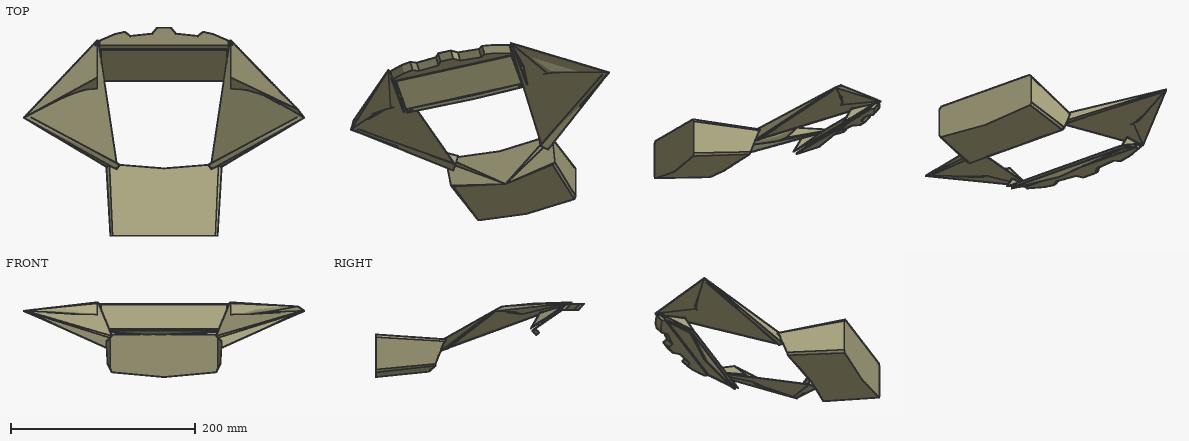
import cadquery as cq



def flat_face(corners):
    return cq.Face.makeFromWires(cq.Wire.makePolygon(corners, close=True))


def twisted_face(first_edge, second_edge):
    """A ruled face between two straight edges, each given as (start, end)."""
    return cq.Face.makeRuledSurface(cq.Edge.makeLine(*first_edge), cq.Edge.makeLine(*second_edge))


def closed_solid(faces):
    """A solid closed by faces; a list of corner points stands for a flat face."""
    built = [flat_face(face) if isinstance(face, list) else face for face in faces]
    solid = cq.Solid.makeSolid(cq.Shell.makeShell(built)).fix()
    return cq.Workplane(obj=solid)


def prism_between(first, second):
    """A solid between two equal, shifted outlines."""
    faces = [first, second]
    for i in range(len(first)):
        j = (i + 1) % len(first)
        faces.append([first[i], first[j], second[j], second[i]])
    return closed_solid(faces)


def mirrored(point):
    """The same point on the other side of the middle plane."""
    x, y, z = point
    return (-x, y, z)


def raised(point, height):
    x, y, z = point
    return (x, y, z + height)


front_corners = [
    (0, 0, 46.6),
    (55.8, 0, 46.6),
    (58.4, 0, 43.5),
    (58.4, 0, 8.4),
    (56.7, 0, 5.2),
    (0, 0, 0),
]
back_corners = [
    (0, 73.4, 38.9),
    (59.2, 78.2, 41.2),
    (62.8, 74.6, 39.0),
    (61.5, 65.0, 14.6),
    (58.6, 65.0, 12.4),
    (0, 57.7, 5.9),
]


def make_block():
    faces = [front_corners + [mirrored(p) for p in reversed(front_corners[1:-1])]]
    for side in (tuple, mirrored):
        front = [side(p) for p in front_corners]
        back = [side(p) for p in back_corners]
        for i in range(len(front) - 1):
            faces.append(twisted_face((front[i], front[i + 1]), (back[i], back[i + 1])))
        for i in range(len(back) - 2):
            faces.append([back[-1], back[i], back[i + 1]])
    return closed_solid(faces)


floor_thickness = 0.6
wing_rear = (72.3, 212.7, 81.52)
wing_tip = (152.43, 128.3, 72.2)
floor_inner_front = (51.6, 80.7, 33.0)


def on_floor(x, y):
    """The point at (x, y) on the plane through the wing's rear, tip and inner front corners."""
    normal = (cq.Vector(wing_tip) - cq.Vector(wing_rear)).cross(
        cq.Vector(floor_inner_front) - cq.Vector(wing_rear)
    )
    rise = normal.x * (x - wing_rear[0]) + normal.y * (y - wing_rear[1])
    return (x, y, wing_rear[2] - rise / normal.z)


floor_inner_rear = on_floor(70.9, 209.5)

rim_tip_inner = on_floor(144.4, 128.7)
rim_outer_end = (51.6, 72.3, 40.6)
rim_inner_end = (47.8, 77.2, 42.2)
rim_outer_foot = (56.0, 71.0, 28.8)
rim_inner_foot = (50.0, 78.2, 31.0)
floor_front = on_floor(53.0, 75.2)

flap_front = (72.3, 172.2, 80.2)
flap_foot = (72.3, 159.8, 68.1)
flap_landing = raised(on_floor(98.7, 158.0), -2 * floor_thickness)
flap_raised_tip = (145.5, 137.3, 77.0)

fin_thickness = 1.0
fin_corners = [(168.2, 52.9), (178.6, 70.6), (203.0, 76.9)]


def floor_plate():
    top = [wing_rear, wing_tip, floor_front, floor_inner_front, floor_inner_rear]
    bottom = [raised(p, -floor_thickness) for p in top]
    return prism_between(top, bottom)


def front_rim():
    tip = wing_tip
    return closed_solid([
        [tip, rim_tip_inner, rim_inner_end],
        [tip, rim_inner_end, rim_outer_end],
        [tip, rim_outer_end, rim_outer_foot],
        [tip, rim_outer_foot, rim_inner_foot],
        [tip, rim_inner_foot, rim_tip_inner],
        [rim_tip_inner, rim_inner_foot, rim_inner_end],
        [rim_outer_end, rim_inner_end, rim_inner_foot],
        [rim_outer_end, rim_inner_foot, rim_outer_foot],
    ])


def rear_flap(open_tip):
    flap_end = flap_raised_tip if open_tip else wing_tip
    faces = [
        [wing_rear, flap_front, flap_foot],
        [wing_rear, flap_front, flap_end],
        twisted_face((flap_front, flap_end), (flap_foot, flap_landing)),
        [wing_rear, flap_foot, flap_landing],
        [wing_rear, flap_landing, wing_tip],
    ]
    if open_tip:
        faces.append([flap_raised_tip, flap_landing, wing_tip])
        faces.append([wing_rear, flap_raised_tip, wing_tip])
    return closed_solid(faces)


def fin():
    return (
        cq.Workplane("YZ", origin=(wing_rear[0], 0, 0))
        .polyline(fin_corners)
        .close()
        .extrude(fin_thickness)
    )


def make_wing(open_tip):
    return floor_plate().union(front_rim()).union(rear_flap(open_tip)).union(fin())


plate_bottom = 72.8
plate_top = 79.8
plate_lean = 6.4
plate_front = 207.0
plate_half_width = 70.3
plate_scallops = [
    (7.5, 226.34),
    (12.9, 219.8),
    (36.7, 217.3),
    (42.5, 221.8),
    (53.4, 219.3),
    (plate_half_width, 212.0),
]
panel_half_width = 68.3
sheet_root = 203.5
upper_sheet = [(201.8, 78.9), (169.7, 54.2), (168.2, 52.9), (sheet_root, 75.4)]
lower_sheet = [(sheet_root, 74.8), (171.0, 51.6), (170.2, 50.7), (sheet_root, 73.6)]
lip_back = (173.0, 53.0)
lip_front = (169.9, 50.2)
lip_depth = 4.5
lip_end_depth = 0.6
lip_deepest_x = -12.0


def scalloped_plate():
    right = [(plate_half_width, plate_front)] + plate_scallops[::-1]
    left = [(-x, y) for x, y in reversed(right)]
    outline = right + left
    top = [(x, y, plate_top) for x, y in outline]
    bottom = [(x, y - plate_lean, plate_bottom) for x, y in outline]
    return prism_between(top, bottom)


def panel_strip(profile):
    """A strip of the panel's width with the given (Y, Z) profile."""
    return (
        cq.Workplane("YZ", origin=(-panel_half_width, 0, 0))
        .polyline(profile)
        .close()
        .extrude(2 * panel_half_width)
    )


def lip_edge(corner):
    """Outline of one long lip face: a straight root and a free edge that dips to its deepest point."""
    y, z = corner
    dips = [
        (-panel_half_width, lip_end_depth),
        (lip_deepest_x, lip_depth),
        (panel_half_width, lip_end_depth),
    ]
    root_left = (-panel_half_width, y, z)
    root_right = (panel_half_width, y, z)
    return [root_left] + [(x, y + dip, z - dip) for x, dip in dips] + [root_right]


def lip():
    """Lip under the panel's front edge, deepest off the middle and shallow at both ends."""
    return prism_between(lip_edge(lip_front), lip_edge(lip_back))


def make_panel():
    panel = scalloped_plate().union(panel_strip(upper_sheet)).union(panel_strip(lower_sheet))
    return panel.union(lip())


right_wing = make_wing(open_tip=True)
left_wing = make_wing(open_tip=False).mirror("YZ")
block = make_block().cut(right_wing).cut(left_wing)
panel = make_panel()

bodies = [block, right_wing, left_wing, panel]
result = cq.Compound.makeCompound([body.solids().val() for body in bodies])